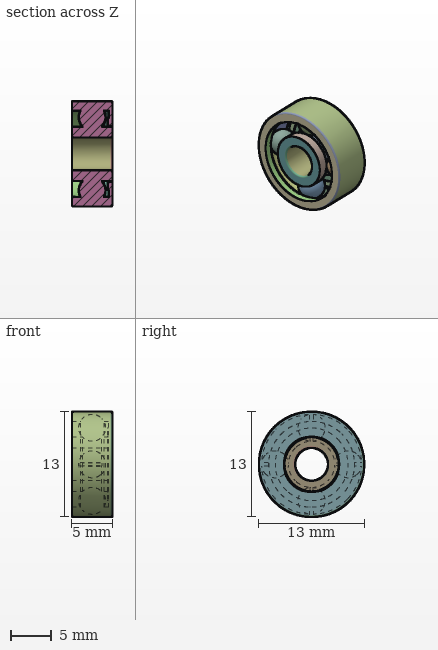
import cadquery as cq

width = 5.0
outer_radius = 6.5
outer_bore_radius = 5.28
inner_ring_radius = 3.34
bore_radius = 2.0
edge_fillet = 0.2
pitch_radius = 4.5
ball_radius = 1.66
ball_count = 4
race_overlap = 0.01
shield_inner_radius = 3.4
shield_step_radius = 4.47
shield_thickness = 0.48
shield_step = 0.13

race_radius = ball_radius - race_overlap


def ring(outside, inside, length):
    """Ring about the X axis, centred on the YZ plane."""
    start = cq.Workplane("YZ", origin=(-length / 2, 0, 0))
    return start.circle(outside).circle(inside).extrude(length)


def ball_race():
    """Torus swept by a race-sized circle around the bearing axis."""
    return cq.Workplane("XY").center(0, pitch_radius).circle(race_radius).revolve(
        360, (0, -pitch_radius), (1, -pitch_radius)
    )


def outer_ring():
    body = ring(outer_radius, outer_bore_radius, width)
    rims = cq.selectors.RadiusNthSelector(-1)
    return body.edges(rims).fillet(edge_fillet).cut(ball_race())


def inner_ring():
    body = ring(inner_ring_radius, bore_radius, width)
    rims = cq.selectors.RadiusNthSelector(0)
    return body.edges(rims).fillet(edge_fillet).cut(ball_race())


def balls():
    """Balls evenly spaced on the pitch circle, the first on +Y."""
    ball = cq.Workplane("XY").sphere(ball_radius).translate((0, pitch_radius, 0))
    group = ball
    for index in range(1, ball_count):
        angle = 360 / ball_count * index
        group = group.union(ball.rotate((0, 0, 0), (1, 0, 0), angle))
    return group


def shield_plate(outside, thickness):
    """Annular plate with its back on the +X end face."""
    start = cq.Workplane("YZ", origin=(width / 2 - thickness, 0, 0))
    return start.circle(outside).circle(shield_inner_radius).extrude(thickness)


def shield():
    """Stepped shield closing the +X side, clear of the inner ring."""
    plate = shield_plate(outer_bore_radius, shield_thickness)
    return plate.union(shield_plate(shield_step_radius, shield_thickness + shield_step))


result = outer_ring().union(shield()).union(balls()).union(inner_ring())